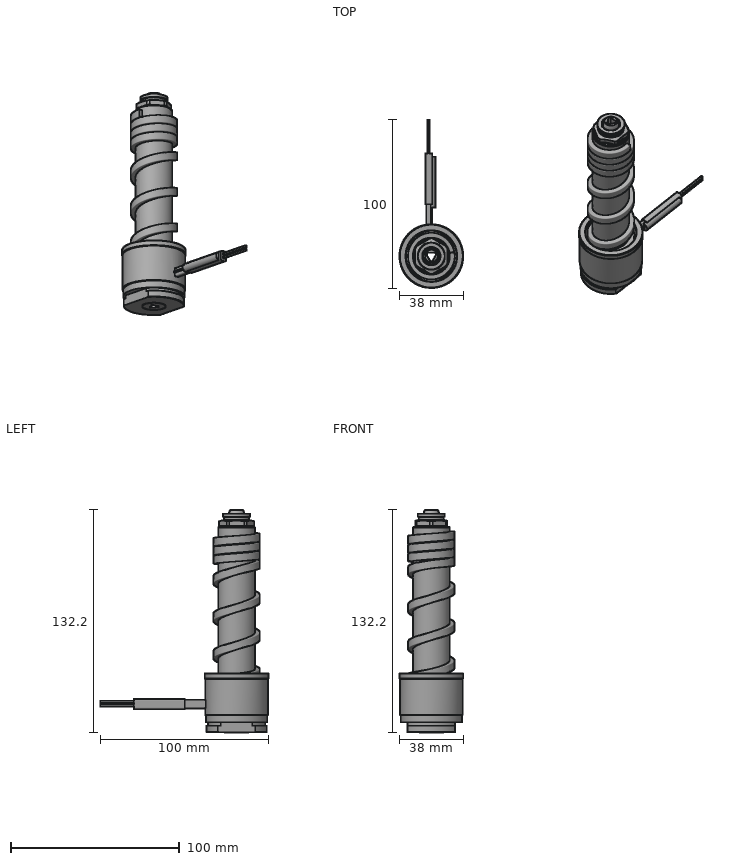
import cadquery as cq
import math

TOTAL_HEIGHT = 132.2

BOSS_RADIUS = 7.0
BOSS_HEIGHT = 0.3
NUT_RADIUS = 18.0
NUT_NECK_RADIUS = 17.0
NUT_FLAT_DISTANCE = 14.2
NUT_NECK_Z = 4.3
NUT_CHAMFER = 0.3

HOUSING_BOTTOM_Z = 6.2
HOUSING_BODY_Z = 10.3
HOUSING_COLLAR_Z = 31.9
HOUSING_TOP_Z = 35.4
LOWER_RING_RADIUS = 18.3
BODY_RADIUS = 18.7
COLLAR_RADIUS = 19.0
HOUSING_CHAMFER = 0.4
POCKET_RADIUS = 15.0
POCKET_CHAMFER = 0.4

BARREL_RADIUS = 11.0
BARREL_TOP_Z = 122.2
BARREL_CHAMFER = 0.5

COIL_RADIUS = 13.85
COIL_INNER_RADIUS = 10.8
COIL_STRIP_HEIGHT = 4.7
COIL_EDGE_FILLET = 0.4
COIL_MID_RADIUS = (COIL_RADIUS + COIL_INNER_RADIUS) / 2
CLOSED_PITCH = 5.25
OPEN_PITCH = 22.2
COIL_TOP_ANGLE = 10.0
UPPER_TRANSITION_ANGLE = -56.0
UPPER_TRANSITION_Z = 100.6
TRANSITION_SWEEP = 139.0
OPEN_SWEEP = 926.0
CLOSED_TURNS = 3
COIL_POINTS_PER_TURN = 24

HEX_ACROSS_FLATS = 19.0
HEX_CORNER_RADIUS = 10.5
HEX_BOTTOM_Z = 122.7
HEX_EDGE_Z = 125.5
HEX_TOP_Z = 126.2
HEX_NECK_RADIUS = 9.0

FLANGE_RADIUS = 8.1
FLANGE_BOTTOM_Z = 128.2
FLANGE_TOP_Z = 130.0
NOZZLE_NECK_RADIUS = 7.5
RECESS_RADIUS = 5.5
RECESS_DEPTH = 1.5
TIP_BASE_RADIUS = 4.7
TIP_MID_RADIUS = 4.4
TIP_RADIUS = 3.75

PASSAGE_INRADIUS = 2.0
PASSAGE_CORNER_RADIUS = 2.95

CABLE_Z = 17.05
CABLE_START_Y = 17.0
LEAD_END_Y = 81.0
LEAD_RADIUS = 0.7
LEAD_SPACING = 2.1
LEAD_MIDDLE_Z = 17.3
POWER_X = -1.65
POWER_WIDTH = 2.9
POWER_HEIGHT = 5.3
POWER_FILLET = 0.7
SLEEVE_X = -1.45
SLEEVE_WIDTH = 4.2
SLEEVE_HEIGHT = 6.2
SLEEVE_FILLET = 1.1
SLEEVE_START_Y = 30.7
SLEEVE_END_Y = 61.0
SENSOR_X = 0.05
SENSOR_RADIUS = 0.55
SENSOR_SLEEVE_RADIUS = 2.55
SENSOR_SLEEVE_START_Y = 28.8
SENSOR_SLEEVE_END_Y = 59.1


def cylinder(radius, bottom, top):
    """Cylinder about Z between two heights."""
    return cq.Workplane("XY").workplane(offset=bottom).circle(radius).extrude(top - bottom)


def along_y(x, z, start_y):
    """Workplane facing +Y at a given start, for cable sections."""
    return cq.Workplane(cq.Plane((x, start_y, z), xDir=(-1, 0, 0), normal=(0, 1, 0)))


def make_nut():
    boss = cylinder(BOSS_RADIUS, 0, NUT_NECK_Z)
    head = cylinder(NUT_RADIUS, BOSS_HEIGHT, NUT_NECK_Z).faces("<Z").chamfer(NUT_CHAMFER)
    neck = cylinder(NUT_NECK_RADIUS, NUT_NECK_Z, HOUSING_BOTTOM_Z)
    flats = cq.Workplane("XY").rect(2 * NUT_FLAT_DISTANCE, 2 * NUT_RADIUS).extrude(HOUSING_BOTTOM_Z)
    return head.union(neck).intersect(flats).union(boss)


def make_housing(pocket_floor):
    ring = cylinder(LOWER_RING_RADIUS, HOUSING_BOTTOM_Z, HOUSING_BODY_Z)
    body = cylinder(BODY_RADIUS, HOUSING_BODY_Z, HOUSING_COLLAR_Z).faces("<Z").chamfer(HOUSING_CHAMFER)
    collar = cylinder(COLLAR_RADIUS, HOUSING_COLLAR_Z, HOUSING_TOP_Z).edges().chamfer(HOUSING_CHAMFER)
    pocket = cylinder(POCKET_RADIUS, pocket_floor, HOUSING_TOP_Z)
    mouth_bevel = (
        cq.Workplane("XY")
        .workplane(offset=HOUSING_TOP_Z)
        .circle(POCKET_RADIUS + POCKET_CHAMFER)
        .workplane(offset=-POCKET_CHAMFER)
        .circle(POCKET_RADIUS)
        .loft()
    )
    return ring.union(body).union(collar).cut(pocket).cut(mouth_bevel)


def make_barrel():
    barrel = cylinder(BARREL_RADIUS, HOUSING_BOTTOM_Z, BARREL_TOP_Z)
    return barrel.faces(">Z").chamfer(BARREL_CHAMFER)


def coil_stages():
    """Stages from the bottom up, each (sweep in degrees, pitch at start, pitch at end)."""
    closed_sweep = 360.0 * CLOSED_TURNS
    top_sweep = closed_sweep + COIL_TOP_ANGLE - UPPER_TRANSITION_ANGLE
    return [
        (closed_sweep, CLOSED_PITCH, CLOSED_PITCH),
        (TRANSITION_SWEEP, CLOSED_PITCH, OPEN_PITCH),
        (OPEN_SWEEP, OPEN_PITCH, OPEN_PITCH),
        (TRANSITION_SWEEP, OPEN_PITCH, CLOSED_PITCH),
        (top_sweep, CLOSED_PITCH, CLOSED_PITCH),
    ]


def coil_rise(turned):
    """Height gained after turning through an angle from the bottom end of the coil."""
    rise = 0.0
    for sweep, start_pitch, end_pitch in coil_stages():
        part = min(max(turned, 0.0), sweep)
        pitch_here = start_pitch + (end_pitch - start_pitch) * part / sweep
        rise += (start_pitch + pitch_here) / 2 * part / 360.0
        turned -= sweep
    return rise


def coil_sweep_below_top_stage():
    return sum(stage[0] for stage in coil_stages()[:-1])


def coil_bottom_z():
    """Height of the strip's middle at the bottom end of the coil."""
    return UPPER_TRANSITION_Z - coil_rise(coil_sweep_below_top_stage())


def coil_point(turned):
    """Point on the coil's middle line after turning through an angle from its bottom end."""
    angle = math.radians(UPPER_TRANSITION_ANGLE - coil_sweep_below_top_stage() + turned)
    height = coil_bottom_z() + coil_rise(turned)
    return cq.Vector(COIL_MID_RADIUS * math.cos(angle), COIL_MID_RADIUS * math.sin(angle), height)


def coil_tangent(turned, pitch):
    """Direction of the coil's middle line where it climbs with a given pitch."""
    point = coil_point(turned)
    return cq.Vector(-point.y, point.x, pitch / (2 * math.pi)).normalized()


def make_coil():
    edges = []
    turned = 0.0
    for sweep, start_pitch, end_pitch in coil_stages():
        steps = math.ceil(sweep / 360.0 * COIL_POINTS_PER_TURN)
        points = [coil_point(turned + sweep * step / steps) for step in range(steps + 1)]
        tangents = [coil_tangent(turned, start_pitch), coil_tangent(turned + sweep, end_pitch)]
        edges.append(cq.Edge.makeSpline(points, tangents=tangents, scale=False))
        turned += sweep
    path = cq.Wire.assembleEdges(edges)

    start = coil_point(0)
    outward = cq.Vector(start.x, start.y, 0)
    start_plane = cq.Plane(start, xDir=outward, normal=coil_tangent(0, CLOSED_PITCH))
    section = (
        cq.Sketch()
        .rect(COIL_RADIUS - COIL_INNER_RADIUS, COIL_STRIP_HEIGHT)
        .vertices(">X")
        .fillet(COIL_EDGE_FILLET)
    )
    return cq.Workplane(start_plane).placeSketch(section).sweep(path, isFrenet=True)


def make_hex_collar():
    hexagon = (
        cq.Workplane("XY")
        .workplane(offset=HEX_BOTTOM_Z)
        .polygon(6, HEX_ACROSS_FLATS, circumscribed=True)
        .extrude(HEX_TOP_Z - HEX_BOTTOM_Z)
    )
    envelope = (
        cq.Workplane("XZ")
        .moveTo(0, HEX_BOTTOM_Z)
        .lineTo(HEX_CORNER_RADIUS, HEX_BOTTOM_Z)
        .lineTo(HEX_CORNER_RADIUS, HEX_EDGE_Z)
        .lineTo(FLANGE_RADIUS, HEX_TOP_Z)
        .lineTo(0, HEX_TOP_Z)
        .close()
        .revolve()
    )
    neck = cylinder(HEX_NECK_RADIUS, BARREL_TOP_Z, HEX_BOTTOM_Z)
    return hexagon.intersect(envelope).union(neck)


def make_nozzle():
    flare = FLANGE_RADIUS - NOZZLE_NECK_RADIUS
    tip_mid_z = (FLANGE_TOP_Z + TOTAL_HEIGHT) / 2
    return (
        cq.Workplane("XZ")
        .moveTo(0, HEX_TOP_Z)
        .lineTo(FLANGE_RADIUS - flare / 2, HEX_TOP_Z)
        .lineTo(NOZZLE_NECK_RADIUS, HEX_TOP_Z + flare / 2)
        .lineTo(NOZZLE_NECK_RADIUS, FLANGE_BOTTOM_Z - flare / 2)
        .lineTo(FLANGE_RADIUS - flare / 2, FLANGE_BOTTOM_Z)
        .lineTo(FLANGE_RADIUS, FLANGE_BOTTOM_Z)
        .lineTo(FLANGE_RADIUS, FLANGE_TOP_Z)
        .lineTo(RECESS_RADIUS, FLANGE_TOP_Z)
        .lineTo(RECESS_RADIUS, FLANGE_TOP_Z - RECESS_DEPTH)
        .lineTo(TIP_BASE_RADIUS, FLANGE_TOP_Z - RECESS_DEPTH)
        .lineTo(TIP_BASE_RADIUS, FLANGE_TOP_Z)
        .threePointArc((TIP_MID_RADIUS, tip_mid_z), (TIP_RADIUS, TOTAL_HEIGHT))
        .lineTo(0, TOTAL_HEIGHT)
        .close()
        .revolve()
    )


def make_passage():
    triangle = (
        cq.Workplane("XY")
        .polygon(3, 4 * PASSAGE_INRADIUS)
        .extrude(TOTAL_HEIGHT)
        .rotate((0, 0, 0), (0, 0, 1), -90)
    )
    return triangle.intersect(cylinder(PASSAGE_CORNER_RADIUS, 0, TOTAL_HEIGHT))


def rounded_bar(x, width, height, fillet, start_y, end_y):
    """Bar along +Y with rounded long edges."""
    bar = along_y(x, CABLE_Z, start_y).rect(width, height).extrude(end_y - start_y)
    return bar.edges("|Y").fillet(fillet)


def round_bar(x, z, radius, start_y, end_y):
    """Round bar along +Y."""
    return along_y(x, z, start_y).circle(radius).extrude(end_y - start_y)


def make_power_cable():
    cable = rounded_bar(POWER_X, POWER_WIDTH, POWER_HEIGHT, POWER_FILLET, CABLE_START_Y, SLEEVE_START_Y)
    sleeve = rounded_bar(
        SLEEVE_X, SLEEVE_WIDTH, SLEEVE_HEIGHT, SLEEVE_FILLET, SLEEVE_START_Y, SLEEVE_END_Y
    )
    assembly = cable.union(sleeve)
    for side in (-1, 1):
        lead_z = LEAD_MIDDLE_Z + side * LEAD_SPACING / 2
        assembly = assembly.union(round_bar(POWER_X, lead_z, LEAD_RADIUS, SLEEVE_END_Y, LEAD_END_Y))
    return assembly


def make_sensor_cable():
    cable = round_bar(SENSOR_X, CABLE_Z, SENSOR_RADIUS, CABLE_START_Y, SENSOR_SLEEVE_START_Y)
    sleeve = round_bar(
        SENSOR_X, CABLE_Z, SENSOR_SLEEVE_RADIUS, SENSOR_SLEEVE_START_Y, SENSOR_SLEEVE_END_Y
    )
    return cable.union(sleeve)


pocket_floor_z = coil_bottom_z() - COIL_STRIP_HEIGHT / 2 - COIL_EDGE_FILLET

result = (
    make_nut()
    .union(make_housing(pocket_floor_z))
    .union(make_barrel())
    .union(make_hex_collar())
    .union(make_nozzle())
    .cut(make_passage())
    .union(make_coil())
    .union(make_power_cable())
    .union(make_sensor_cable())
)